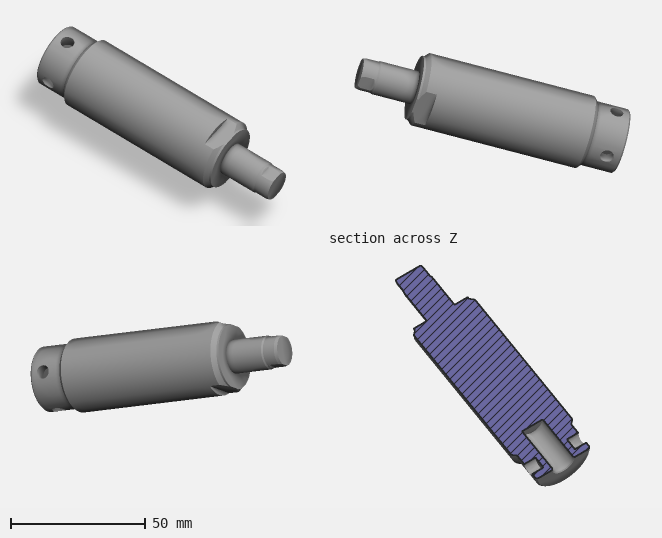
import cadquery as cq

FULL_TURN = 360

total_length = 102.4
collar_chamfer = 0.6
collar_end = 12.7
body_start = 14.2
body_end = 78.4
rim_start = 80.1
rim_end = 80.9
shaft_end = 95.9
tip_start = 96.5
tip_chamfer_length = 1.2

body_radius = 13.9
collar_radius = 12.3
rim_radius = collar_radius
shaft_radius = 6.3
tip_radius = 6.0
tip_end_radius = 5.7

body_flat_start = 74.3
body_flat_height = 11.9
tip_flat_start = 97.3
tip_flat_height = 5.4

bore_radius = 4.6
bore_mouth_radius = 5.0
bore_depth = 20.5
spanner_hole_diameter = 5.1
spanner_hole_x = 5.5
spanner_hole_depth = 5.1
spanner_hole_count = 4


def turned_body():
    """Revolve the stepped half section about the X axis."""
    half_section = [
        (0, 0),
        (0, collar_radius - collar_chamfer),
        (collar_chamfer, collar_radius),
        (collar_end, collar_radius),
        (body_start, body_radius),
        (body_end, body_radius),
        (rim_start, rim_radius),
        (rim_end, rim_radius),
        (rim_end, shaft_radius),
        (shaft_end, shaft_radius),
        (tip_start, tip_radius),
        (total_length - tip_chamfer_length, tip_radius),
        (total_length, tip_end_radius),
        (total_length, 0),
    ]
    return cq.Workplane("XY").polyline(half_section).close().revolve(FULL_TURN, (0, 0, 0), (1, 0, 0))


def flat_pair_cutter(start, end, height, ramp):
    """Material above and below a pair of flats; with ramp, the start wall slopes at 45 degrees."""
    top = body_radius
    slope_length = top - height if ramp else 0
    upper = (
        cq.Workplane("XZ")
        .polyline([(start, height), (end, height), (end, top), (start - slope_length, top)])
        .close()
        .extrude(body_radius, both=True)
    )
    return upper.union(upper.mirror("XY"))


def bore():
    """Blind axial bore with a 45 degree countersunk mouth."""
    mouth_depth = bore_mouth_radius - bore_radius
    half_section = [
        (0, 0),
        (0, bore_mouth_radius),
        (mouth_depth, bore_radius),
        (bore_depth, bore_radius),
        (bore_depth, 0),
    ]
    return cq.Workplane("XY").polyline(half_section).close().revolve(FULL_TURN, (0, 0, 0), (1, 0, 0))


def spanner_hole(angle):
    """Blind radial hole in the collar, turned about the X axis."""
    hole = (
        cq.Workplane("XY", origin=(spanner_hole_x, 0, collar_radius - spanner_hole_depth))
        .circle(spanner_hole_diameter / 2)
        .extrude(2 * spanner_hole_depth)
    )
    return hole.rotate((0, 0, 0), (1, 0, 0), angle)


result = turned_body()
result = result.cut(flat_pair_cutter(body_flat_start, rim_end, body_flat_height, ramp=False))
tip_flats = flat_pair_cutter(tip_flat_start, total_length, tip_flat_height, ramp=True)
tip_zone = cq.Workplane("YZ", origin=(tip_start, 0, 0)).circle(body_radius).extrude(total_length - tip_start)
result = result.cut(tip_flats.intersect(tip_zone))
result = result.cut(bore())
for index in range(spanner_hole_count):
    result = result.cut(spanner_hole(index * FULL_TURN / spanner_hole_count))